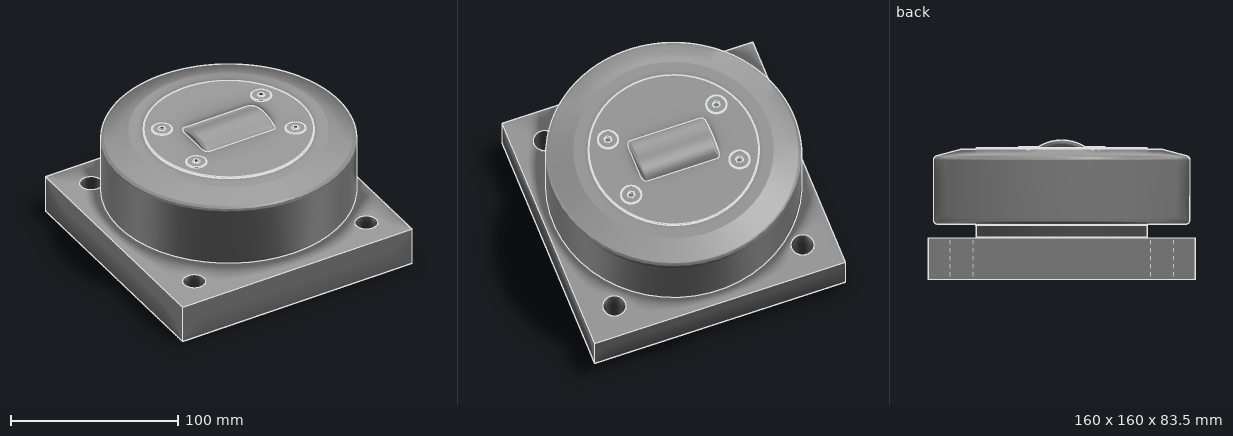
import cadquery as cq
import math

plate_side = 160.0
plate_thickness = 25.0
mount_hole_diameter = 13.8
mount_hole_pitch = 120.0

neck_diameter = 102.5
neck_height = 8.0
collar_diameter = 103.0
collar_height = 0.6
body_diameter = 153.6
body_bottom = plate_thickness + neck_height
body_top = 78.0
crown_diameter = 120.0
crown_slope = 15.0
body_edge_radius = 2.7

cover_diameter = neck_diameter
cover_face_diameter = 101.5
cover_height = 1.0
rim_chamfer_width = (cover_diameter - cover_face_diameter) / 2
rim_chamfer_height = 0.5
cover_top = body_top + cover_height

total_height = 83.5
roller_radius = 26.2
roller_length = 50.0
roller_edge_radius = 2.5
roller_embedment = 8.0

screw_pitch_x = 40.0
screw_pitch_y = 69.1
screw_head_diameter = 11.7
screw_head_height = 0.5
countersink_diameter = 12.8
countersink_depth = 0.5
socket_across_corners = 4.6
socket_depth = 2.0


def make_plate():
    """Mounting plate with four through holes."""
    plate = cq.Workplane("XY").box(plate_side, plate_side, plate_thickness, centered=(True, True, False))
    return (
        plate.faces(">Z").workplane()
        .rect(mount_hole_pitch, mount_hole_pitch, forConstruction=True)
        .vertices()
        .hole(mount_hole_diameter)
    )


def make_body():
    """Rounded disc with a conical crown around its flat top."""
    body_radius = body_diameter / 2
    crown_radius = crown_diameter / 2
    crown_drop = (body_radius - crown_radius) * math.tan(math.radians(crown_slope))
    profile = (
        cq.Workplane("XZ")
        .moveTo(0, body_bottom)
        .lineTo(body_radius, body_bottom)
        .lineTo(body_radius, body_top - crown_drop)
        .lineTo(crown_radius, body_top)
        .lineTo(0, body_top)
        .close()
    )
    body = profile.revolve(360, (0, 0, 0), (0, 1, 0))
    rim_edges = cq.selectors.RadiusNthSelector(-1)
    return body.edges(rim_edges).fillet(body_edge_radius)


def make_neck():
    """Round neck, chamfered at the plate, with a thin collar under the body."""
    neck = cq.Workplane("XY").workplane(offset=plate_thickness).circle(neck_diameter / 2).extrude(neck_height)
    neck = neck.faces("<Z").edges().chamfer(rim_chamfer_height, rim_chamfer_width)
    collar = cq.Workplane(origin=(0, 0, body_bottom)).circle(collar_diameter / 2).extrude(-collar_height)
    return neck.union(collar)


def make_cover():
    """Low disc with a chamfered rim."""
    cover = cq.Workplane("XY").workplane(offset=body_top).circle(cover_diameter / 2).extrude(cover_height)
    return cover.faces(">Z").edges().chamfer(rim_chamfer_height, rim_chamfer_width)


def make_side_roller():
    """Upper part of the side roller, with rounded end edges."""
    roller = (
        cq.Workplane("XZ", origin=(0, 0, total_height - roller_radius))
        .circle(roller_radius)
        .extrude(roller_length / 2, both=True)
        .edges("%CIRCLE")
        .fillet(roller_edge_radius)
    )
    keep_height = total_height - cover_top + roller_embedment
    keep = (
        cq.Workplane("XY", origin=(0, 0, cover_top - roller_embedment))
        .box(2 * roller_radius, roller_length, keep_height, centered=(True, True, False))
    )
    return roller.intersect(keep)


def screw_positions(height):
    """Workplane at the given height with a point at each cover screw."""
    return (
        cq.Workplane("XY", origin=(0, 0, height))
        .rect(screw_pitch_x, screw_pitch_y, forConstruction=True)
        .vertices()
    )


def add_screws(part):
    """Set a proud screw head with a hex socket into each countersink."""
    head_radius = screw_head_diameter / 2
    countersink = cq.Solid.makeCone(
        head_radius, countersink_diameter / 2, countersink_depth
    )
    countersinks = screw_positions(cover_top - countersink_depth).eachpoint(
        lambda place: countersink.located(place)
    )
    heads = screw_positions(cover_top - countersink_depth).circle(head_radius).extrude(
        countersink_depth + screw_head_height
    )
    head_top = cover_top + screw_head_height
    sockets = screw_positions(head_top).polygon(6, socket_across_corners).extrude(-socket_depth)
    return part.cut(countersinks).union(heads).cut(sockets)


base = make_plate().union(make_neck()).union(make_body())
result = add_screws(base.union(make_cover()).union(make_side_roller()))